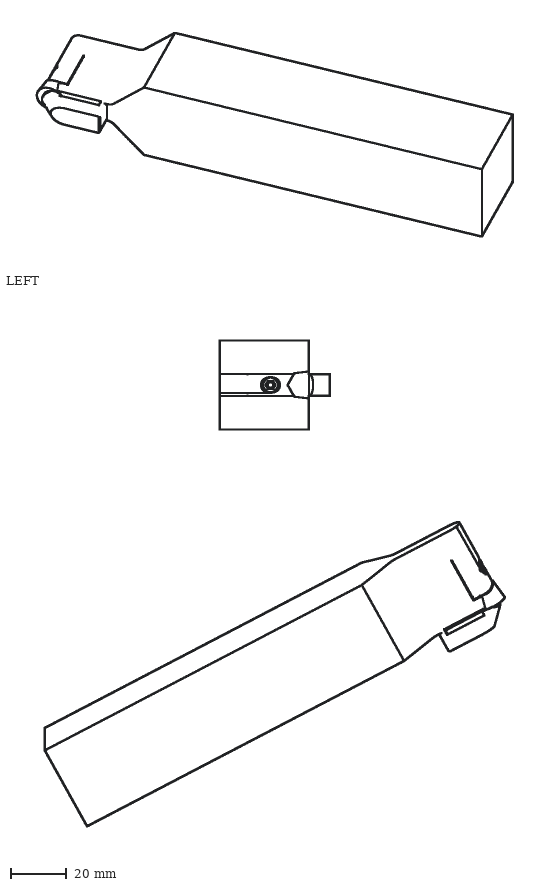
import cadquery as cq
import math

total_length = 170.0
shank_size = 32.0
ramp_end_x = 41.0
ramp_angle = 44.0
ramp_fillet = 3.5
blade_thickness = 7.8
blade_nose_x = 1.2

insert_diameter = 9.7
relief_angle = 7.0
seat_ridge_y = 7.6
seat_slope_angle = 30.0

slit_width = 0.25
slit_x = 9.9
slit_end_y = 22.0

jaw_drop = 7.5
jaw_tip_x = 2.5
jaw_tip_height = 1.5
jaw_tip_slope = 43.0
jaw_end_x = 26.9
jaw_edge_fillet = 1.0
jaw_end_chamfer = 0.5

gap_start_x = 9.2
gap_end_x = 24.3
gap_blade_y = 0.7
gap_jaw_y = -1.5
gap_ridge_height = 0.5

screw_y = 13.8
screw_diameter = 5.3
countersink_diameter = 6.8
countersink_depth = 1.5
socket_size = 3.4
socket_depth = 1.4
pilot_diameter = 2.0
pilot_depth = 1.0

half_shank = shank_size / 2
half_blade = blade_thickness / 2
insert_radius = insert_diameter / 2
seat_edge_y = seat_ridge_y - half_blade * math.tan(math.radians(seat_slope_angle))


def shank_and_blade():
    """Square shank that narrows over two ramps to a flat blade with a round nose."""
    rise = half_shank - half_blade
    ramp_start_x = ramp_end_x - rise / math.tan(math.radians(ramp_angle))
    nose_centre_x = blade_nose_x + half_blade
    body = (
        cq.Workplane("XZ")
        .moveTo(nose_centre_x, half_blade)
        .lineTo(ramp_start_x, half_blade)
        .lineTo(ramp_end_x, half_shank)
        .lineTo(total_length, half_shank)
        .lineTo(total_length, -half_shank)
        .lineTo(ramp_end_x, -half_shank)
        .lineTo(ramp_start_x, -half_blade)
        .lineTo(nose_centre_x, -half_blade)
        .threePointArc((blade_nose_x, 0), (nose_centre_x, half_blade))
        .close()
        .extrude(-shank_size)
    )
    corner_reach = 0.2
    inner_corners = cq.selectors.BoxSelector(
        (ramp_start_x - corner_reach, 0, -half_shank), (ramp_start_x + corner_reach, shank_size, half_shank)
    )
    return body.edges(inner_corners).fillet(ramp_fillet)


def rounded_bar(start, end):
    """Bar along a line in the z = 0 plane, as thick as the blade, with a half-round -X side."""
    start = cq.Vector(*start, 0)
    direction = cq.Vector(*end, 0) - start
    section = cq.Plane(origin=start, xDir=(0, 0, -1), normal=direction)
    return (
        cq.Workplane(section)
        .moveTo(-half_blade, total_length)
        .lineTo(-half_blade, half_blade)
        .threePointArc((0, 0), (half_blade, half_blade))
        .lineTo(half_blade, total_length)
        .close()
        .extrude(direction.Length)
    )


def jaw():
    """Jaw in front of the blade, with a straight tip that turns into a sloping round nose."""
    rise = jaw_drop - jaw_tip_height
    run = rise * math.tan(math.radians(jaw_tip_slope))
    side_outline = (
        cq.Workplane("XY")
        .polyline(
            [
                (0, 0),
                (0, -jaw_drop),
                (jaw_end_x - jaw_end_chamfer, -jaw_drop),
                (jaw_end_x, -jaw_drop + jaw_end_chamfer),
                (jaw_end_x, 0),
            ]
        )
        .close()
        .extrude(half_blade, both=True)
    )
    rounded_end = (
        cq.Workplane("XZ")
        .rect(2 * jaw_end_x, blade_thickness)
        .extrude(jaw_drop)
        .edges("|Y and >X")
        .fillet(jaw_edge_fillet)
    )
    straight_bar = rounded_bar((jaw_tip_x, jaw_drop), (jaw_tip_x, -2 * jaw_drop))
    sloping_bar = rounded_bar(
        (jaw_tip_x - 2 * run, 2 * rise - jaw_tip_height), (jaw_tip_x + 3 * run, -3 * rise - jaw_tip_height)
    )
    return side_outline.intersect(rounded_end).intersect(straight_bar).intersect(sloping_bar)


def gap():
    """Gap between blade and jaw, whose jaw side is a low ridge along X behind the tip."""
    behind_tip = (
        cq.Workplane("YZ", origin=(gap_start_x, 0, 0))
        .polyline(
            [
                (gap_blade_y, half_blade),
                (gap_jaw_y, half_blade),
                (gap_jaw_y + gap_ridge_height, 0),
                (gap_jaw_y, -half_blade),
                (gap_blade_y, -half_blade),
            ]
        )
        .close()
        .extrude(gap_end_x - gap_start_x)
    )
    at_tip = (
        cq.Workplane("XY")
        .rect(gap_start_x, gap_blade_y, centered=False)
        .extrude(half_blade, both=True)
    )
    return behind_tip.union(at_tip)


def seat_prism(ridge_y, length):
    """Prism along X with a V-shaped +Y side, taller than the blade and the insert."""
    reach = insert_diameter
    side_y = ridge_y - reach * math.tan(math.radians(seat_slope_angle))
    return (
        cq.Workplane("YZ")
        .polyline([(0, reach), (side_y, reach), (ridge_y, 0), (side_y, -reach), (0, -reach)])
        .close()
        .extrude(length)
    )


def insert_body():
    """Round insert: a cone with a relief angle, cut to a V at its seat."""
    bottom_radius = insert_radius - seat_ridge_y * math.tan(math.radians(relief_angle))
    face_centre = cq.Vector(insert_radius, 0, 0)
    cone = cq.Solid.makeCone(
        insert_radius, bottom_radius, seat_ridge_y, pnt=face_centre, dir=cq.Vector(0, 1, 0)
    )
    return cq.Workplane(cone).intersect(seat_prism(seat_ridge_y, insert_diameter))


def slit():
    """Thin slit that follows the seat's V to slit_x and then runs in +Y."""
    length = slit_x + slit_width / 2
    along_seat = seat_prism(seat_ridge_y, length).cut(seat_prism(seat_ridge_y - slit_width, length))
    behind_seat = (
        cq.Workplane("XY", origin=(slit_x - slit_width / 2, seat_edge_y - slit_width, 0))
        .rect(slit_width, slit_end_y - seat_edge_y + slit_width, centered=False)
        .extrude(blade_thickness, both=True)
    )
    return along_seat.union(behind_seat)


def screw_recess():
    """Conical groove around the screw head, and the head's hexagonal socket with a pointed bottom."""
    groove = (
        cq.Workplane("XY")
        .polyline(
            [
                (0, screw_diameter / 2),
                (0, countersink_diameter / 2),
                (countersink_depth, screw_diameter / 2),
            ]
        )
        .close()
        .revolve(360, (0, 0), (1, 0))
    )
    socket = cq.Workplane("YZ").polygon(6, socket_size).extrude(socket_depth)
    pilot = cq.Solid.makeCone(
        pilot_diameter / 2, 0, pilot_depth, pnt=cq.Vector(socket_depth, 0, 0), dir=cq.Vector(1, 0, 0)
    )
    return groove.union(socket).union(pilot).translate((blade_nose_x, screw_y, 0))


insert = insert_body()
holder = shank_and_blade().union(jaw()).cut(gap()).cut(slit()).cut(screw_recess())
holder = holder.cut(insert)

result = cq.Compound.makeCompound([*holder.vals(), insert.val()])